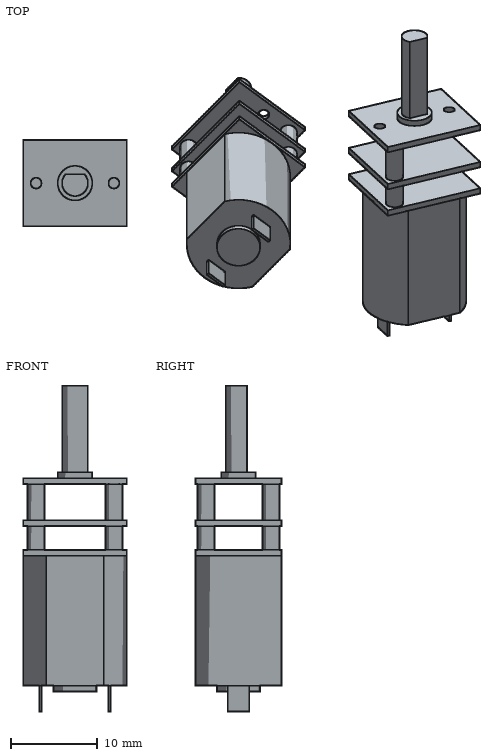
import cadquery as cq

can_diameter = 12.0
can_across_flats = 9.95
can_length = 15.0

plate_length = can_diameter
plate_width = 10.0
plate_thickness = 0.7
gearbox_length = 9.0
lower_gap = 2.75
pillar_diameter = 2.0
pillar_x = 4.5
pillar_y = 3.75

hole_diameter = 1.25
hole_x = 4.5

collar_diameter = 4.0
collar_height = 0.7
shaft_diameter = 3.0
shaft_length = 10.0
shaft_flat_y = 1.0

rear_boss_diameter = 5.0
rear_boss_height = 0.7
terminal_thickness = 0.3
terminal_width = 2.5
terminal_length = 3.0
terminal_x = 4.0

gearbox_top = can_length + gearbox_length
plate_levels = [
    can_length,
    can_length + plate_thickness + lower_gap,
    gearbox_top - plate_thickness,
]
collar_top = gearbox_top + collar_height


def cylinder(diameter, bottom, height, x=0, y=0):
    """Upright cylinder standing on the level `bottom`."""
    return cq.Workplane("XY", origin=(x, y, bottom)).circle(diameter / 2).extrude(height)


def block(length, width, bottom, height, x=0, y=0):
    """Upright block centred on (x, y) and standing on the level `bottom`."""
    return cq.Workplane("XY", origin=(x, y, bottom)).rect(length, width).extrude(height)


def motor_can():
    flats = block(can_diameter, can_across_flats, 0, can_length)
    can = cylinder(can_diameter, 0, can_length).intersect(flats)
    rear_boss = cylinder(rear_boss_diameter, -rear_boss_height, rear_boss_height)
    return can.union(rear_boss)


def terminals():
    blades = cq.Workplane("XY")
    for side in (-1, 1):
        blade = block(
            terminal_thickness, terminal_width, -terminal_length, terminal_length, x=side * terminal_x
        )
        blades = blades.add(blade)
    return blades.combine()


def gearbox():
    frame = cq.Workplane("XY")
    for corner in (-1, 1):
        pillar = cylinder(
            pillar_diameter, can_length, gearbox_length, x=corner * pillar_x, y=corner * pillar_y
        )
        frame = frame.add(pillar)
    frame = frame.combine()
    for level in plate_levels:
        frame = frame.union(block(plate_length, plate_width, level, plate_thickness))
    for side in (-1, 1):
        hole = cylinder(hole_diameter, plate_levels[-1], plate_thickness, x=side * hole_x)
        frame = frame.cut(hole)
    return frame


def output_shaft():
    collar = cylinder(collar_diameter, gearbox_top, collar_height)
    shaft = cylinder(shaft_diameter, collar_top, shaft_length)
    flat_depth = shaft_diameter / 2 - shaft_flat_y
    removed = block(
        shaft_diameter, flat_depth, collar_top, shaft_length, y=shaft_flat_y + flat_depth / 2
    )
    return collar.union(shaft.cut(removed))


result = motor_can().union(gearbox()).union(output_shaft()).union(terminals())